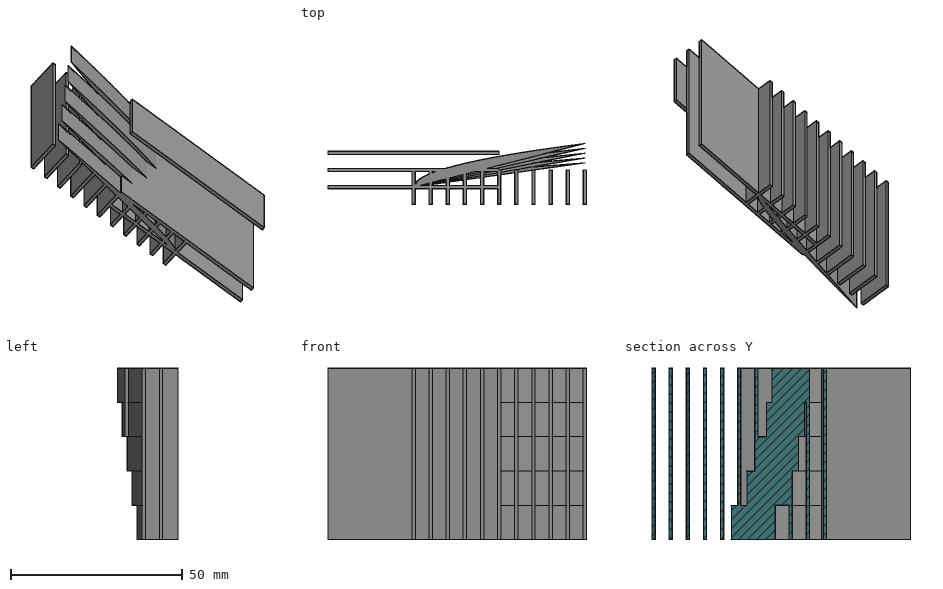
import cadquery as cq
import math

overall_length = 75.5
fin_count = 11
plate_pitches = 10
fin_depth_pitches = 2
walls_per_pitch = 5

overall_pitches = plate_pitches / 2 + (fin_count - 1) + 0.5 / walls_per_pitch
pitch = overall_length / overall_pitches
wall = pitch / walls_per_pitch
plate_length = plate_pitches * pitch
height = plate_length
fin_depth = fin_depth_pitches * pitch

step_count = 5
step_height = height / step_count
chord = (fin_count - 1) * pitch
lowest_steepness = 1.0
steepness_increase = 0.2
blade_facets = 50

rear_plate_steps = 2
rear_plate_height = rear_plate_steps * step_height

front_plate_y = 0
middle_plate_y = pitch
rear_plate_y = 2 * pitch

attached_fin_count = 8


def make_upright(center_x, center_y, length_x, length_y, upright_height):
    """Upright block whose top is flush with the top of the part."""
    return (
        cq.Workplane("XY", origin=(center_x, center_y, height - upright_height))
        .box(length_x, length_y, upright_height, centered=(True, True, False))
    )


def make_plate(center_y, plate_height):
    """Plate along X, centred on the first fin."""
    return make_upright(0, center_y, plate_length, wall, plate_height)


def make_fin(index):
    """Full-height fin along Y, on the grid line with this index."""
    return make_upright(index * pitch, front_plate_y, wall, fin_depth, height)


def make_blade_step(index):
    """One step of the blade: a parabolic back of narrow facets, closed by a flat front along its chord."""
    steepness = lowest_steepness + index * steepness_increase
    back = []
    for facet in range(blade_facets + 1):
        x = facet * chord / blade_facets
        back.append((x, steepness * math.sqrt(x * wall)))
    return (
        cq.Workplane("XY", origin=(0, front_plate_y, index * step_height))
        .polyline(back)
        .close()
        .extrude(step_height)
    )


def make_main_body():
    """Front and middle plates joined with the attached fins and the stepped blade."""
    body = make_plate(front_plate_y, height).union(make_plate(middle_plate_y, height))
    for index in range(attached_fin_count):
        body = body.union(make_fin(index))
    for index in range(step_count):
        body = body.union(make_blade_step(index))
    return body.solids()


main_body = make_main_body()
rear_plate = make_plate(rear_plate_y, rear_plate_height)
free_fins = [make_fin(index) for index in range(attached_fin_count, fin_count)]

result = cq.Compound.makeCompound([main_body.val(), rear_plate.val(), *[fin.val() for fin in free_fins]])